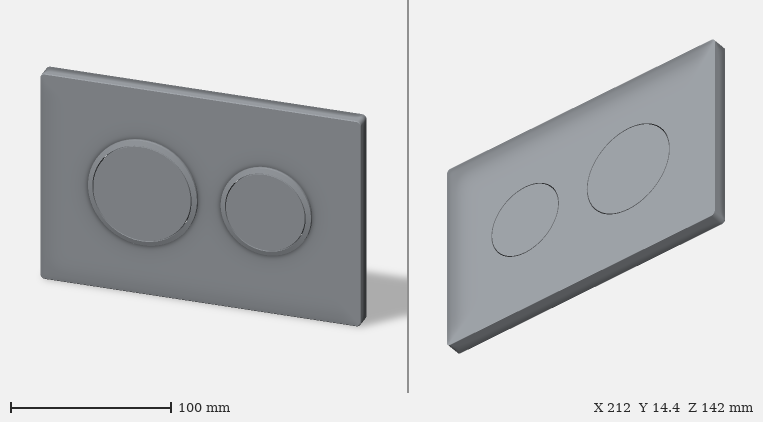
import cadquery as cq

plate_width = 212.0
plate_height = 142.0
plate_thickness = 11.0
plate_corner_radius = 3.0
plate_edge_chamfer = 0.53

ring_height = 3.4
ring_wall_height = 2.3
ring_band = 3.2
button_gap = 0.6
large_ring_radius = 36.0
large_button_x = -37.5
small_ring_radius = 29.9
small_button_x = 44.0

total_depth = plate_thickness + ring_height
back_y = total_depth / 2
plate_front_y = back_y - plate_thickness

button_places = [
    (large_button_x, large_ring_radius),
    (small_button_x, small_ring_radius),
]


def workplane_at(y):
    """XZ workplane at the given Y, extruding toward -Y."""
    return cq.Workplane("XZ", origin=(0, y, 0))


def make_plate():
    """Rounded plate with a chamfered front edge and a through hole for each button."""
    plate = (
        workplane_at(back_y)
        .rect(plate_width, plate_height)
        .extrude(plate_thickness)
        .edges("|Y")
        .fillet(plate_corner_radius)
        .faces("<Y")
        .edges()
        .chamfer(plate_edge_chamfer)
    )
    for centre_x, ring_radius in button_places:
        hole = (
            workplane_at(back_y)
            .center(centre_x, 0)
            .circle(ring_radius - ring_band)
            .extrude(plate_thickness)
        )
        plate = plate.cut(hole)
    return plate


def make_ring(centre_x, outer_radius):
    """Trim ring on the plate: straight outer wall, then a cone down to the bore edge."""
    inner_radius = outer_radius - ring_band
    ring = (
        cq.Workplane("XY")
        .moveTo(inner_radius, 0)
        .lineTo(outer_radius, 0)
        .lineTo(outer_radius, -ring_wall_height)
        .lineTo(inner_radius, -ring_height)
        .close()
        .revolve(360, (0, 0, 0), (0, 1, 0))
    )
    return ring.translate((centre_x, plate_front_y, 0))


def make_button(centre_x, ring_radius):
    """Plain disc, flush with the ring's front edge and the back of the plate."""
    return (
        workplane_at(back_y)
        .center(centre_x, 0)
        .circle(ring_radius - ring_band - button_gap)
        .extrude(total_depth)
    )


plate = make_plate()
rings = [make_ring(x, radius) for x, radius in button_places]
buttons = [make_button(x, radius) for x, radius in button_places]

result = cq.Compound.makeCompound([
    plate.val(),
    *[ring.val() for ring in rings],
    *[button.val() for button in buttons],
])